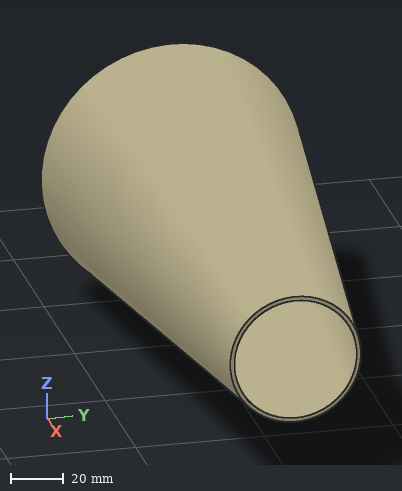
import cadquery as cq

length = 203.2
large_diameter = 101.5
small_diameter = large_diameter / 2

large_end_wall = 2.0
thin_wall = 1.65

large_radius = large_diameter / 2
small_radius = small_diameter / 2
middle_x = length / 2
middle_radius = (large_radius + small_radius) / 2

wall_section = (
    cq.Workplane("XY")
    .moveTo(0, large_radius - large_end_wall)
    .lineTo(0, large_radius)
    .lineTo(length, small_radius)
    .lineTo(length, small_radius - thin_wall)
    .lineTo(middle_x, middle_radius - thin_wall)
    .close()
)

result = wall_section.revolve(360, (0, 0, 0), (1, 0, 0))